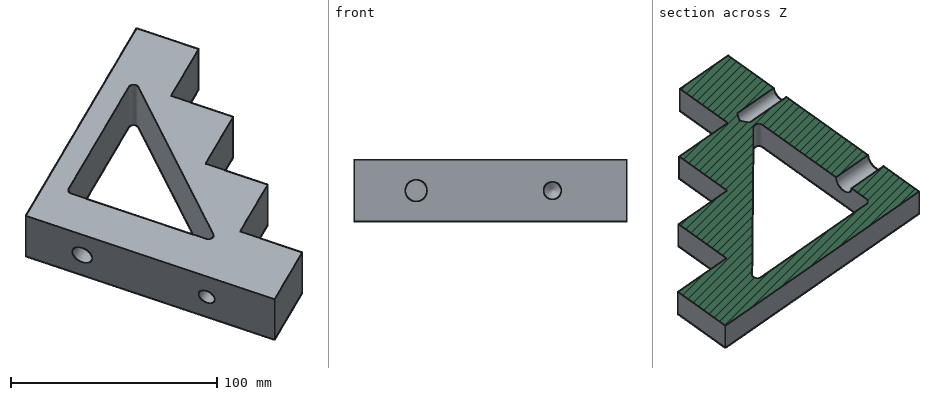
import cadquery as cq
import math

step_count = 4
step = 33.0
leg = step_count * step
thickness = 30.0

left_wall = 12.0
bottom_wall = 22.0
window_leg = 80.0
window_radius = 2.5

hole_height = thickness / 2
clearance_hole_diameter = 10.5
clearance_hole_x = 30.0
blind_hole_diameter = 8.5
blind_hole_x = 96.0
blind_hole_depth = 25.0
drill_tip_angle = 118.0


def stepped_body():
    points = [(0, 0), (leg, 0)]
    for i in range(1, step_count):
        tread_y = i * step
        riser_x = leg - tread_y
        points += [(riser_x + step, tread_y), (riser_x, tread_y)]
    points += [(step, leg), (0, leg)]
    return cq.Workplane("XY").polyline(points).close().extrude(thickness)


def triangular_window():
    points = [
        (left_wall, bottom_wall),
        (left_wall + window_leg, bottom_wall),
        (left_wall, bottom_wall + window_leg),
    ]
    window = cq.Workplane("XY").polyline(points).close().extrude(thickness)
    return window.edges("|Z").fillet(window_radius)


def clearance_hole():
    depth = bottom_wall + window_radius
    face = cq.Workplane("XZ").center(clearance_hole_x, hole_height)
    return face.circle(clearance_hole_diameter / 2).extrude(-depth)


def blind_hole():
    radius = blind_hole_diameter / 2
    tip_length = radius / math.tan(math.radians(drill_tip_angle / 2))
    half_section = [
        (0, 0),
        (radius, 0),
        (radius, blind_hole_depth),
        (0, blind_hole_depth + tip_length),
    ]
    plane = cq.Workplane("XY", origin=(blind_hole_x, 0, hole_height))
    return plane.polyline(half_section).close().revolve(360, (0, 0), (0, 1))


result = stepped_body().cut(triangular_window()).cut(clearance_hole()).cut(blind_hole())